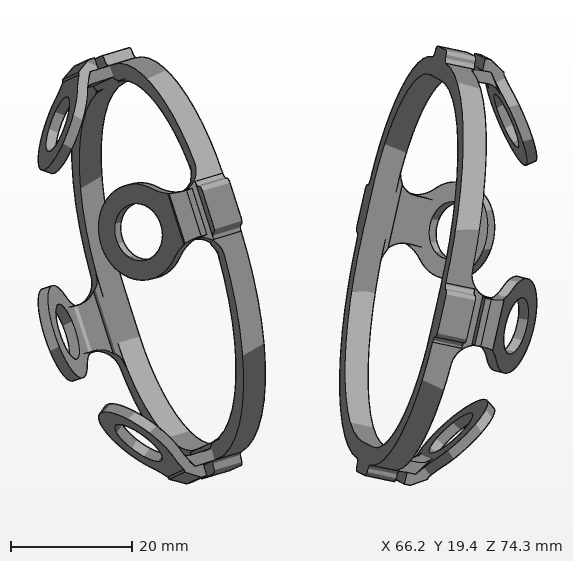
import cadquery as cq
import math


half_width = 33.1
half_height = 37.15
ring_thickness = 3.0
ring_depth = 4.0

tab_half_width = 4.0
flank_radius = 4.0
leg_thickness = 2.0
leg_fillet_radius = 2.6

pad_protrusion = 2.0
blend_radius = pad_protrusion / 2
pad_depth = 5.05
lip_start = 6.6
lip_end_height = 1.05
lip_crest_offset = 0.45
lip_crest_depth = 10.2

plate_tilt = math.radians(35)
plate_thickness = 1.8
plate_bend_depth = 10.25
eyelet_radius = 8.0
eyelet_reach = eyelet_radius
hole_diameter = 9.5
neck_radius = 8.0

generous = 29.7

tab_direction = 45
diagonal = math.sqrt(2)
tab_offset = (half_height - half_width) / (2 * (diagonal - 1))
side_center = diagonal * (tab_offset - tab_half_width)
end_center = diagonal * (tab_offset + tab_half_width)
flat_distance = half_width + (diagonal - 1) * (tab_offset - tab_half_width)

lip_distance = flat_distance + pad_protrusion
leg_inner = flat_distance - leg_thickness
ring_inner = flat_distance - ring_thickness
lip_crest = flat_distance + lip_crest_offset

tilt_cos = math.cos(plate_tilt)
tilt_sin = math.sin(plate_tilt)


def ring_outline(inset):
    """Closed oval of four arcs and four 45 degree flats, shrunk by inset."""
    side_radius = half_width + side_center - inset
    end_radius = half_height - end_center - inset
    side_x = side_radius / diagonal - side_center
    side_y = side_radius / diagonal
    end_x = end_radius / diagonal
    end_y = end_radius / diagonal + end_center
    return (
        cq.Workplane("XY")
        .moveTo(side_x, -side_y)
        .threePointArc((half_width - inset, 0), (side_x, side_y))
        .lineTo(end_x, end_y)
        .threePointArc((0, half_height - inset), (-end_x, end_y))
        .lineTo(-side_x, side_y)
        .threePointArc((inset - half_width, 0), (-side_x, -side_y))
        .lineTo(-end_x, -end_y)
        .threePointArc((0, inset - half_height), (end_x, -end_y))
        .close()
    )



def pad():
    """Block outside the ring, rounded at its corners and blended into the flat."""
    flat_half = tab_half_width - blend_radius
    foot_half = flat_half + 2 * blend_radius
    shoulder = lip_distance - blend_radius
    foot = lip_distance - 2 * blend_radius
    corner = blend_radius / diagonal
    near = flat_half + corner
    far = foot_half - corner
    return (
        cq.Workplane("XY")
        .moveTo(leg_inner, -foot_half)
        .lineTo(foot, -foot_half)
        .threePointArc((shoulder - corner, -far), (shoulder, -tab_half_width))
        .threePointArc((shoulder + corner, -near), (lip_distance, -flat_half))
        .lineTo(lip_distance, flat_half)
        .threePointArc((shoulder + corner, near), (shoulder, tab_half_width))
        .threePointArc((shoulder - corner, far), (foot, foot_half))
        .lineTo(leg_inner, foot_half)
        .close()
        .extrude(pad_depth)
    )


def plate_back_depth(distance):
    """Depth of the back face of the tilted plate at a distance outward from the axis."""
    front = plate_bend_depth + (flat_distance - distance) * math.tan(plate_tilt)
    return front - plate_thickness / tilt_cos


def leg():
    """Post rising from the ring, with filleted flanks, foot and plate corner."""
    flank_foot = tab_half_width + flank_radius
    flank_top = ring_depth + flank_radius
    flank_mid = flank_foot - flank_radius / diagonal
    flank_mid_depth = flank_top - flank_radius / diagonal
    flanks = (
        cq.Workplane("YZ")
        .moveTo(-flank_foot, 0)
        .lineTo(-flank_foot, ring_depth)
        .threePointArc((-flank_mid, flank_mid_depth), (-tab_half_width, flank_top))
        .lineTo(-tab_half_width, generous)
        .lineTo(tab_half_width, generous)
        .lineTo(tab_half_width, flank_top)
        .threePointArc((flank_mid, flank_mid_depth), (flank_foot, ring_depth))
        .lineTo(flank_foot, 0)
        .close()
        .extrude(generous + half_height)
    )
    foot_depth = ring_depth + blend_radius
    corner_depth = plate_back_depth(leg_inner)
    tangent_length = leg_fillet_radius * math.tan((math.pi / 2 - plate_tilt) / 2)
    fillet_start = corner_depth - tangent_length
    fillet_end = leg_inner - tangent_length * tilt_cos
    section = (
        cq.Workplane("XZ")
        .moveTo(flat_distance, 0)
        .lineTo(ring_inner, 0)
        .lineTo(ring_inner, ring_depth)
        .tangentArcPoint((leg_inner, foot_depth), relative=False)
        .lineTo(leg_inner, fillet_start)
        .tangentArcPoint((fillet_end, plate_back_depth(fillet_end)), relative=False)
        .lineTo(flat_distance, plate_bend_depth)
        .close()
    )
    return section.extrude(flank_foot, both=True).intersect(flanks)


def plate():
    """Tilted eyelet with its hole and a lip hooked over the pad."""
    lip_end = lip_start + lip_end_height
    inner = flat_distance - generous
    bend_rise = generous * math.tan(plate_tilt)
    side = (
        cq.Workplane("XZ")
        .moveTo(lip_distance, lip_start)
        .lineTo(lip_distance, lip_end)
        .lineTo(lip_crest, lip_crest_depth)
        .lineTo(flat_distance, plate_bend_depth)
        .lineTo(inner, plate_bend_depth + bend_rise)
        .lineTo(inner, plate_back_depth(inner))
        .lineTo(flat_distance, plate_back_depth(flat_distance))
        .lineTo(flat_distance, lip_start)
        .close()
    )
    eyelet_plane = cq.Plane(
        origin=(
            flat_distance - eyelet_reach * tilt_cos,
            0,
            plate_bend_depth + eyelet_reach * tilt_sin,
        ),
        xDir=(tilt_cos, 0, -tilt_sin),
        normal=(tilt_sin, 0, tilt_cos),
    )
    arc_y = tab_half_width + neck_radius
    arc_x = math.sqrt((eyelet_radius + neck_radius) ** 2 - arc_y**2)
    touch = eyelet_radius / (eyelet_radius + neck_radius)
    mid_angle = (math.atan2(arc_y, arc_x) + math.pi / 2) / 2
    mid_x = arc_x - neck_radius * math.cos(mid_angle)
    mid_y = arc_y - neck_radius * math.sin(mid_angle)
    strip_end = arc_x + eyelet_radius
    outline = (
        cq.Workplane(eyelet_plane)
        .moveTo(strip_end, tab_half_width)
        .lineTo(arc_x, tab_half_width)
        .threePointArc((mid_x, mid_y), (touch * arc_x, touch * arc_y))
        .threePointArc((-eyelet_radius, 0), (touch * arc_x, -touch * arc_y))
        .threePointArc((mid_x, -mid_y), (arc_x, -tab_half_width))
        .lineTo(strip_end, -tab_half_width)
        .close()
        .extrude(generous, both=True)
    )
    hole = cq.Workplane(eyelet_plane).circle(hole_diameter / 2).extrude(generous, both=True)
    return side.extrude(generous, both=True).intersect(outline).cut(hole)


def placed(shape):
    """Move a tab feature onto the flat between the +X side and the +Y end."""
    return shape.translate((0, tab_offset, 0)).rotate((0, 0, 0), (0, 0, 1), tab_direction)


ring = ring_outline(0).extrude(ring_depth).cut(ring_outline(ring_thickness).extrude(ring_depth))
leg_on_ring = placed(leg()).intersect(ring_outline(0).extrude(generous))
tab = placed(pad()).union(placed(plate())).union(leg_on_ring)
tab_pair = tab.union(tab.mirror("YZ"))
body = ring.union(tab_pair).union(tab_pair.mirror("XZ"))

result = body.rotate((0, 0, 0), (1, 0, 0), 90)